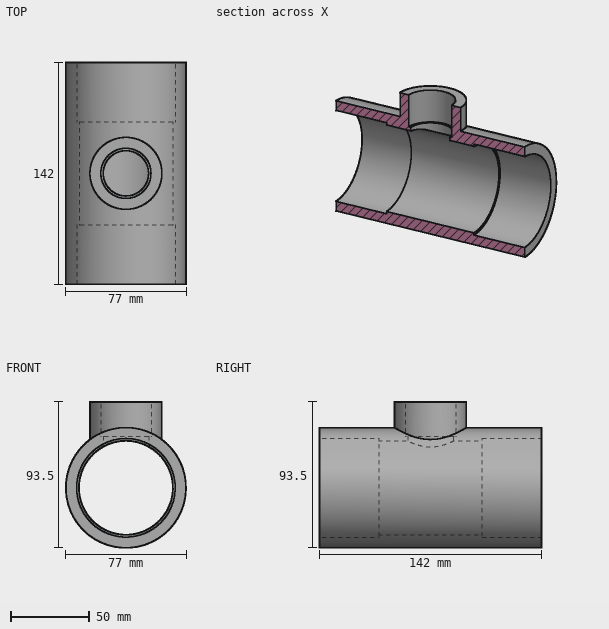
import cadquery as cq

main_length = 142.0
main_outer_diameter = 77.0
main_socket_diameter = 63.0
main_bore_diameter = 59.9
main_socket_depth = 38.0

branch_top = 55.0
branch_outer_diameter = 46.0
branch_socket_diameter = 32.1
branch_bore_diameter = 29.0
branch_socket_depth = 22.2


def main_cylinder(diameter, length, start):
    """Cylinder along +Y beginning at the given Y position."""
    direction = cq.Vector(0, 1, 0)
    return cq.Workplane(cq.Solid.makeCylinder(diameter / 2, length, cq.Vector(0, start, 0), direction))


def branch_cylinder(diameter, bottom):
    """Vertical cylinder from the given height up to the branch mouth."""
    return cq.Workplane("XY").workplane(offset=bottom).circle(diameter / 2).extrude(branch_top - bottom)


main_start = -main_length / 2
body = main_cylinder(main_outer_diameter, main_length, main_start)
body = body.union(branch_cylinder(branch_outer_diameter, 0))

body = body.cut(main_cylinder(main_bore_diameter, main_length, main_start))
body = body.cut(branch_cylinder(branch_bore_diameter, 0))

for socket_start in (main_start, main_length / 2 - main_socket_depth):
    body = body.cut(main_cylinder(main_socket_diameter, main_socket_depth, socket_start))
body = body.cut(branch_cylinder(branch_socket_diameter, branch_top - branch_socket_depth))

result = body